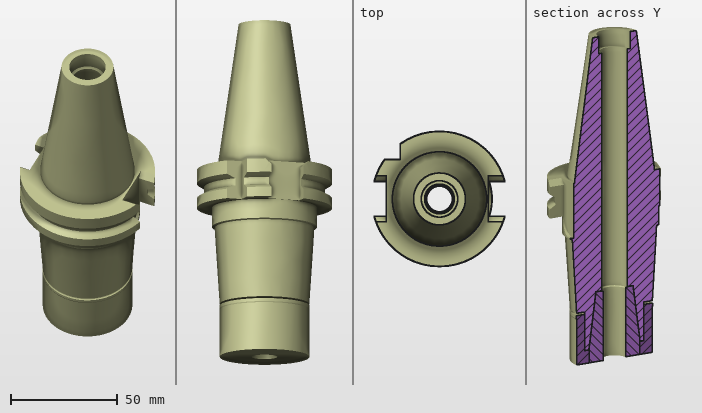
import cadquery as cq
import math

TOTAL_HEIGHT = 158.4
GAUGE_HEIGHT = 90.0
FLANGE_TOP = 89.0
FLANGE_BOTTOM = 71.0
GROOVE_CENTRE = 79.0
NECK_TOP = 61.5
SLOT_BOTTOM = 62.4
NUT_HEIGHT = 24.2
NUT_RIM_BOTTOM = 22.8
NUT_GAP = 1.0
NECK_BOTTOM = NUT_HEIGHT + NUT_GAP
SEAT_TOP = 34.0
NOSE_BOTTOM = 6.3
BEVEL_HEIGHT = 0.5

TAPER_RATIO = 7 / 24
GAUGE_RADIUS = 22.2
TAPER_TIP_RADIUS = GAUGE_RADIUS - (TOTAL_HEIGHT - GAUGE_HEIGHT) * TAPER_RATIO / 2
FLANGE_RADIUS = 63.5 / 2
GROOVE_RADIUS = 28.5
GROOVE_WIDTH = 7.1
GROOVE_SLOPE = 30
COLLAR_RADIUS = 24.7
NECK_TOP_RADIUS = 23.5
NECK_BOTTOM_RADIUS = 21.0
NOSE_RADIUS = 16.5

COUNTERBORE_RADIUS = 8.5
COUNTERBORE_DEPTH = 8.2
BORE_RADIUS = 7.0

SLOT_WIDTH = 16.2
SLOT_CHAMFER = 2.7
LEFT_SLOT_FLOOR = 25.0
RIGHT_SLOT_FLOOR = 22.8
NOTCH_OFFSET = 18.5

COLLET_HALF_ANGLE = 8
COLLET_TOP_RADIUS = 10.1
COLLET_BORE_RADIUS = 6.0
COLLET_BORE_CHAMFER = 0.5
COLLET_FLARE = (SEAT_TOP - NOSE_BOTTOM) * math.tan(math.radians(COLLET_HALF_ANGLE))
COLLET_RADIUS = COLLET_TOP_RADIUS + COLLET_FLARE

NUT_RADIUS = 21.0
NUT_RIM_RADIUS = 21.2


def revolved(outline):
    """Solid of revolution about Z of an open outline drawn in the XZ plane."""
    return outline.close().revolve(360, (0, 0, 0), (0, 1, 0))


def holder_blank():
    """Nose, conical neck, collar, V-grooved flange and taper, still without bore or cutouts."""
    groove_depth = FLANGE_RADIUS - GROOVE_RADIUS
    rim_half = GROOVE_WIDTH / 2
    floor_half = rim_half - groove_depth * math.tan(math.radians(GROOVE_SLOPE))
    outline = (
        cq.Workplane("XZ")
        .moveTo(0, NOSE_BOTTOM)
        .lineTo(NOSE_RADIUS, NOSE_BOTTOM)
        .lineTo(NOSE_RADIUS, NECK_BOTTOM)
        .lineTo(NECK_BOTTOM_RADIUS, NECK_BOTTOM)
        .lineTo(NECK_TOP_RADIUS, NECK_TOP)
        .lineTo(COLLAR_RADIUS, NECK_TOP + BEVEL_HEIGHT)
        .lineTo(COLLAR_RADIUS, FLANGE_BOTTOM)
        .lineTo(FLANGE_RADIUS, FLANGE_BOTTOM)
        .lineTo(FLANGE_RADIUS, GROOVE_CENTRE - rim_half)
        .lineTo(GROOVE_RADIUS, GROOVE_CENTRE - floor_half)
        .lineTo(GROOVE_RADIUS, GROOVE_CENTRE + floor_half)
        .lineTo(FLANGE_RADIUS, GROOVE_CENTRE + rim_half)
        .lineTo(FLANGE_RADIUS, FLANGE_TOP)
        .lineTo(GAUGE_RADIUS, FLANGE_TOP)
        .lineTo(GAUGE_RADIUS, GAUGE_HEIGHT)
        .lineTo(TAPER_TIP_RADIUS, TOTAL_HEIGHT)
        .lineTo(0, TOTAL_HEIGHT)
    )
    return revolved(outline)


def holder_bore():
    """Stepped bore that opens into the conical collet seat."""
    counterbore_floor = TOTAL_HEIGHT - COUNTERBORE_DEPTH
    outline = (
        cq.Workplane("XZ")
        .moveTo(0, NOSE_BOTTOM)
        .lineTo(COLLET_RADIUS, NOSE_BOTTOM)
        .lineTo(COLLET_TOP_RADIUS, SEAT_TOP)
        .lineTo(BORE_RADIUS, SEAT_TOP)
        .lineTo(BORE_RADIUS, counterbore_floor)
        .lineTo(COUNTERBORE_RADIUS, counterbore_floor)
        .lineTo(COUNTERBORE_RADIUS, TOTAL_HEIGHT)
        .lineTo(0, TOTAL_HEIGHT)
    )
    return revolved(outline)


def driving_slot(floor, side):
    """Round-ended slot with flared upper edges; side is +1 towards +X, -1 towards -X."""
    half = SLOT_WIDTH / 2
    end_centre = SLOT_BOTTOM + half
    flare_half = half + SLOT_CHAMFER
    return (
        cq.Workplane("YZ", origin=(side * floor, 0, 0))
        .moveTo(-half, end_centre)
        .threePointArc((0, SLOT_BOTTOM), (half, end_centre))
        .lineTo(half, FLANGE_TOP - SLOT_CHAMFER)
        .lineTo(flare_half, FLANGE_TOP)
        .lineTo(-flare_half, FLANGE_TOP)
        .lineTo(-half, FLANGE_TOP - SLOT_CHAMFER)
        .close()
        .extrude(side * (FLANGE_RADIUS - floor))
    )


def side_notch():
    """Square corner cut through the flange on its -X, +Y side."""
    size = FLANGE_RADIUS - NOTCH_OFFSET
    corner = (-FLANGE_RADIUS, NOTCH_OFFSET, FLANGE_BOTTOM)
    block = cq.Workplane("XY").box(size, size, FLANGE_TOP - FLANGE_BOTTOM, centered=False)
    return block.translate(corner)


def make_holder():
    """Tool holder with its bore, driving slots and side notch."""
    return (
        holder_blank()
        .cut(holder_bore())
        .cut(driving_slot(LEFT_SLOT_FLOOR, -1))
        .cut(driving_slot(RIGHT_SLOT_FLOOR, 1))
        .cut(side_notch())
    )


def make_collet():
    """Tapered sleeve that fills the seat and passes through the nut's lower wall."""
    outline = (
        cq.Workplane("XZ")
        .moveTo(COLLET_BORE_RADIUS, 0)
        .lineTo(COLLET_RADIUS, 0)
        .lineTo(COLLET_RADIUS, NOSE_BOTTOM)
        .lineTo(COLLET_TOP_RADIUS, SEAT_TOP)
        .lineTo(COLLET_BORE_RADIUS + COLLET_BORE_CHAMFER, SEAT_TOP)
        .lineTo(COLLET_BORE_RADIUS, SEAT_TOP - COLLET_BORE_CHAMFER)
    )
    return revolved(outline)


def make_nut():
    """Sleeve round the nose, with a slightly wider rim at its top and a wall below the nose."""
    outline = (
        cq.Workplane("XZ")
        .moveTo(COLLET_RADIUS, 0)
        .lineTo(NUT_RADIUS, 0)
        .lineTo(NUT_RADIUS, NUT_RIM_BOTTOM - BEVEL_HEIGHT)
        .lineTo(NUT_RIM_RADIUS, NUT_RIM_BOTTOM)
        .lineTo(NUT_RIM_RADIUS, NUT_HEIGHT)
        .lineTo(NOSE_RADIUS, NUT_HEIGHT)
        .lineTo(NOSE_RADIUS, NOSE_BOTTOM)
        .lineTo(COLLET_RADIUS, NOSE_BOTTOM)
    )
    return revolved(outline)


holder = make_holder()
collet = make_collet()
nut = make_nut()

result = cq.Compound.makeCompound([holder.val(), collet.val(), nut.val()])